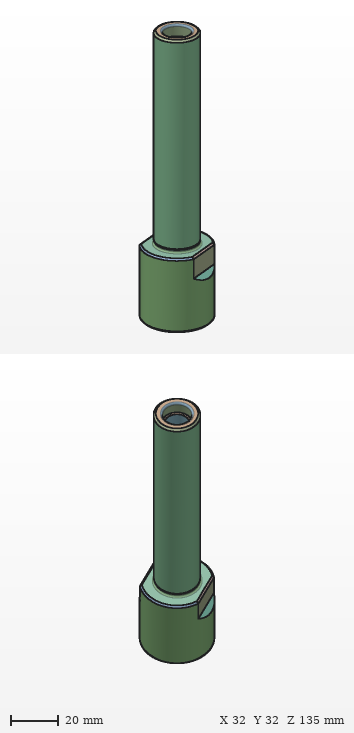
import cadquery as cq
import math

head_diameter = 32.0
head_height = 35.0
head_top_chamfer_height = 0.9
head_top_chamfer_width = 0.8
head_bottom_chamfer = 1.0

across_flats = 27.0
flat_length = 10.0

total_height = 135.0
tube_diameter = 20.0
tube_top_chamfer = 1.0

neck_diameter = 19.6
neck_length = 1.9
neck_step_length = 0.6
neck_root_radius = 0.8

bore_diameter = 10.92
counterbore_diameter = 12.5
counterbore_depth = 5.5
counterbore_floor_angle = 120.0
mouth_round = 0.9


def make_head():
    """Head with chamfered ends and two wrench flats that run out at 45 degrees."""
    half_flats = across_flats / 2
    radius = head_diameter / 2
    flat_bottom = head_height - flat_length
    runout_bottom = flat_bottom - (radius - half_flats)
    top_half_flats = half_flats - head_top_chamfer_width
    chamfer_bottom = head_height - head_top_chamfer_height

    head = (
        cq.Workplane("XZ")
        .moveTo(0, 0)
        .lineTo(radius - head_bottom_chamfer, 0)
        .lineTo(radius, head_bottom_chamfer)
        .lineTo(radius, chamfer_bottom)
        .lineTo(radius - head_top_chamfer_width, head_height)
        .lineTo(0, head_height)
        .close()
        .revolve(360, (0, 0, 0), (0, 1, 0))
    )
    flats_outline = (
        cq.Workplane("XZ")
        .moveTo(0, 0)
        .lineTo(radius, 0)
        .lineTo(radius, runout_bottom)
        .lineTo(half_flats, flat_bottom)
        .lineTo(half_flats, chamfer_bottom)
        .lineTo(top_half_flats, head_height)
        .lineTo(0, head_height)
        .mirrorY()
        .extrude(radius, both=True)
    )
    return head.intersect(flats_outline)


def make_tube():
    """Outside of the tube: chamfered top, undercut neck and a fillet at the neck root."""
    tube_radius = tube_diameter / 2
    neck_radius = neck_diameter / 2
    neck_top = head_height + neck_length
    root_top = head_height + neck_root_radius
    return (
        cq.Workplane("XZ")
        .moveTo(0, head_height)
        .lineTo(neck_radius + neck_root_radius, head_height)
        .radiusArc((neck_radius, root_top), neck_root_radius)
        .lineTo(neck_radius, neck_top - neck_step_length)
        .lineTo(tube_radius, neck_top)
        .lineTo(tube_radius, total_height - tube_top_chamfer)
        .lineTo(tube_radius - tube_top_chamfer, total_height)
        .lineTo(0, total_height)
        .close()
        .revolve(360, (0, 0, 0), (0, 1, 0))
    )


def make_bore():
    """Through bore with a drilled counterbore (conical floor) and a rounded mouth."""
    bore_radius = bore_diameter / 2
    counterbore_radius = counterbore_diameter / 2
    floor_edge = total_height - counterbore_depth
    half_floor_angle = math.radians(counterbore_floor_angle / 2)
    floor_drop = (counterbore_radius - bore_radius) / math.tan(half_floor_angle)
    return (
        cq.Workplane("XZ")
        .moveTo(0, 0)
        .lineTo(bore_radius, 0)
        .lineTo(bore_radius, floor_edge - floor_drop)
        .lineTo(counterbore_radius, floor_edge)
        .lineTo(counterbore_radius, total_height - mouth_round)
        .radiusArc((counterbore_radius + mouth_round, total_height), mouth_round)
        .lineTo(0, total_height)
        .close()
        .revolve(360, (0, 0, 0), (0, 1, 0))
    )


result = make_head().union(make_tube()).cut(make_bore())